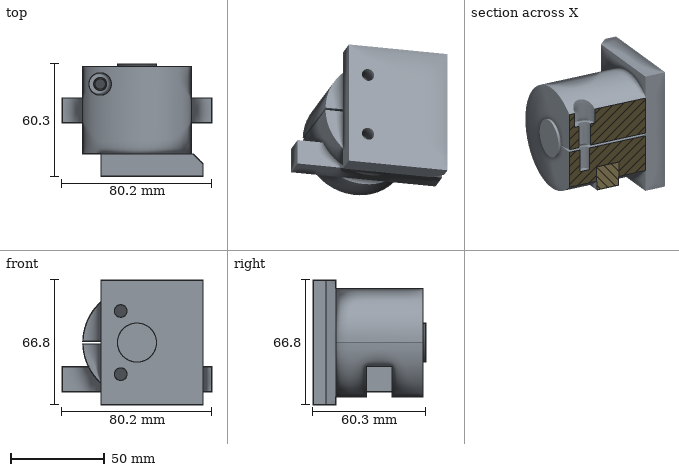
import cadquery as cq


plate_height = 66.8
plate_left = -19.3
plate_right = 35.35
plate_thickness = 12.1
plate_chamfer = 5.3
plate_hole_diameter = 6.7
plate_hole_x = -8.7
plate_hole_z = 16.9

shaft_diameter = 20.9
shaft_length = 60.3

drum_diameter = 58.1
drum_back = 58.85
drum_length = drum_back - plate_thickness
slit_width = 1.3

screw_x = -19.7
screw_y = 49.5
screw_seat_z = 13.3
counterbore_diameter = 12.0
clearance_diameter = 7.0
tapped_diameter = 5.6
tapped_end_z = -13.3

bar_length = 80.2
bar_side = 13.5
bar_center_y = 35.35
bar_top = -12.9


def y_cylinder(diameter, start, length, x=0, z=0):
    """Cylinder along +Y, starting at Y = start."""
    return cq.Workplane("XZ", origin=(x, start, z)).circle(diameter / 2).extrude(-length)


def screw_cylinder(diameter, bottom, top):
    """Vertical cylinder on the clamp screw axis."""
    base = cq.Workplane("XY", origin=(screw_x, screw_y, bottom))
    return base.circle(diameter / 2).extrude(top - bottom)


def make_plate():
    outline = [
        (plate_left, 0),
        (plate_right, 0),
        (plate_right, plate_thickness - plate_chamfer),
        (plate_right - plate_chamfer, plate_thickness),
        (plate_left, plate_thickness),
    ]
    bottom = cq.Workplane("XY", origin=(0, 0, -plate_height / 2))
    plate = bottom.polyline(outline).close().extrude(plate_height)
    plate = plate.cut(y_cylinder(shaft_diameter, 0, plate_thickness))
    for z in (-plate_hole_z, plate_hole_z):
        plate = plate.cut(y_cylinder(plate_hole_diameter, 0, plate_thickness, plate_hole_x, z))
    return plate


def make_shaft():
    return y_cylinder(shaft_diameter, 0, shaft_length)


def make_drum():
    drum_radius = drum_diameter / 2
    drum = y_cylinder(drum_diameter, plate_thickness, drum_length)
    drum = drum.cut(y_cylinder(shaft_diameter, plate_thickness, drum_length))

    slit = cq.Workplane("XY").box(drum_radius, drum_length, slit_width, centered=(False, False, True))
    drum = drum.cut(slit.translate((-drum_radius, plate_thickness, 0)))

    slot_depth = drum_radius + bar_top
    slot = cq.Workplane("XY").box(drum_diameter, bar_side, slot_depth)
    drum = drum.cut(slot.translate((0, bar_center_y, bar_top - slot_depth / 2)))

    drum = drum.cut(screw_cylinder(counterbore_diameter, screw_seat_z, drum_radius))
    drum = drum.cut(screw_cylinder(clearance_diameter, 0, screw_seat_z))
    return drum.cut(screw_cylinder(tapped_diameter, tapped_end_z, 0))


def make_bar():
    bar = cq.Workplane("XY").box(bar_length, bar_side, bar_side)
    return bar.translate((0, bar_center_y, bar_top - bar_side / 2))


plate = make_plate().solids()
shaft = make_shaft().solids()
drum = make_drum().solids()
bar = make_bar().solids()

result = cq.Compound.makeCompound([plate.val(), shaft.val(), drum.val(), bar.val()])